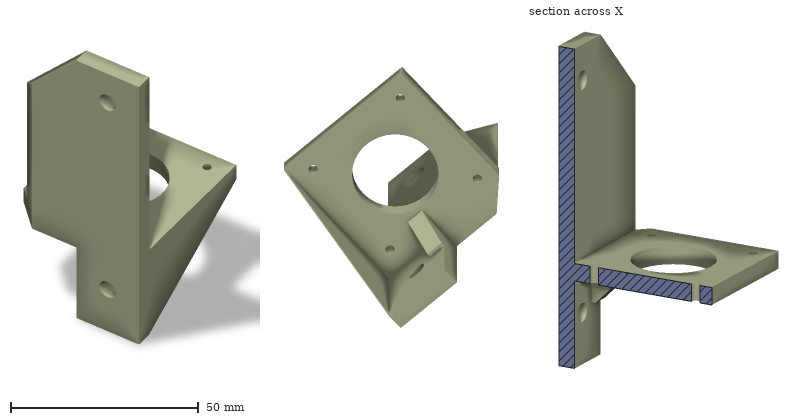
import cadquery as cq

width = 42.0
depth = 47.0
height = 89.55
thickness = 5.0

leg_left = 22.0
leg_bottom = 0.05
wall_left = 3.2
wall_slope_end = 69.95
bolt_spacing = 65.0
bolt_margin = 10.0
bolt_diameter = 5.3
bolt_x = (leg_left + width) / 2

wall_above_plate = 60.0
plate_top = height - wall_above_plate
plate_bottom = plate_top - thickness
motor_x = 20.5
motor_y = 26.5
motor_bore = 23.0
screw_spacing = 31.0
screw_diameter = 2.46
corner_cut = 7.9

web_thickness = 0.3
web_overlap = 0.2
rib_thickness = 5.0
rib_reach = 9.0
rib_drop = 8.5
rib_lip = 0.7
rib_foot = 1.2


def make_wall():
    """Upright wall with a sloped shoulder and a narrow leg below the plate."""
    outline = [
        (width, leg_bottom),
        (width, height),
        (leg_left, height),
        (wall_left, wall_slope_end),
        (wall_left, plate_bottom),
        (leg_left, plate_bottom),
        (leg_left, leg_bottom),
    ]
    return cq.Workplane("XZ").polyline(outline).close().extrude(-thickness)


def make_plate():
    """Horizontal motor plate reaching back from the wall."""
    slab = cq.Workplane("XY").box(width, depth, thickness, centered=False)
    return slab.translate((0, 0, plate_bottom))


def make_stiffener(outline, left, stiffener_thickness):
    """Extrude a YZ outline along +X, starting at X = left."""
    profile = cq.Workplane("YZ").workplane(offset=left).polyline(outline).close()
    return profile.extrude(stiffener_thickness)


def make_web():
    """Thin triangular web under the plate; its lower tip sinks into the wall and ends just below the leg."""
    web_front = thickness - web_overlap
    outline = [(web_front, 0), (depth, plate_bottom), (web_front, plate_bottom)]
    return make_stiffener(outline, width - web_thickness, web_thickness)


def make_rib():
    """Short 45-degree rib in the corner of leg and plate, at the leg's left edge."""
    rib_back = thickness + rib_reach
    rib_bottom = plate_bottom - rib_drop
    outline = [
        (0, plate_bottom),
        (rib_back, plate_bottom),
        (rib_back, plate_bottom - rib_lip),
        (thickness + rib_foot, rib_bottom),
        (0, rib_bottom),
    ]
    return make_stiffener(outline, leg_left, rib_thickness)


def corner_cutter():
    """Prism that bevels the front left vertical corner of wall and plate."""
    outline = [(0, 0), (corner_cut, 0), (0, corner_cut)]
    return cq.Workplane("XY").polyline(outline).close().extrude(height)


def bolt_holes():
    """Two holes through the wall, along Y."""
    centers = [(bolt_x, height - bolt_margin - i * bolt_spacing) for i in range(2)]
    return cq.Workplane("XZ").pushPoints(centers).circle(bolt_diameter / 2).extrude(-thickness)


def motor_holes():
    """Central bore and four screw holes through the plate, along Z."""
    base = cq.Workplane("XY").workplane(offset=plate_bottom).center(motor_x, motor_y)
    bore = base.circle(motor_bore / 2).extrude(thickness)
    screws = base.rarray(screw_spacing, screw_spacing, 2, 2).circle(screw_diameter / 2).extrude(thickness)
    return bore.union(screws)


body = make_wall().union(make_plate()).union(make_web()).union(make_rib())
result = body.cut(corner_cutter()).cut(bolt_holes()).cut(motor_holes())